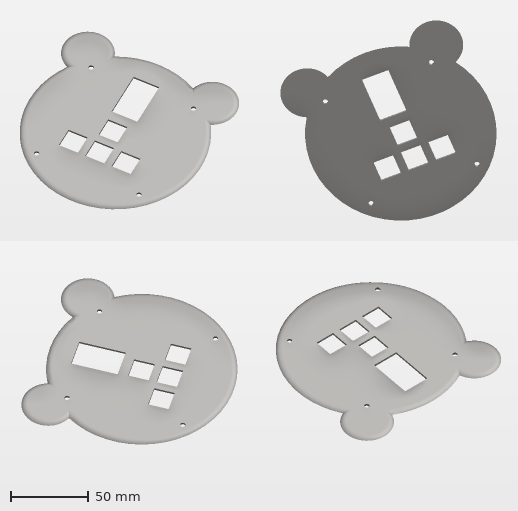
import cadquery as cq
import math

plate_thickness = 1.5
head_radius = 62.0
ear_radius = 17.4
ear_offset_x = 45.1
ear_offset_y = 49.7

rim_radius = 5.0
rim_width = math.sqrt(rim_radius**2 - (rim_radius - plate_thickness) ** 2)

screw_hole_diameter = 3.4
screw_spacing_x = 74.1
screw_spacing_y = 78.1
screw_center = (-0.4, 0.3)

key_size = 13.8
key_pitch = 19.1
middle_key_x = -1.7
key_row_y = -19.4

window_width = 18.6
window_height = 31.4
window_center = (-0.3, 29.2)


def rounded_disc(radius, center_x=0.0, center_y=0.0):
    """Flat disc with a sharp bottom edge and a rim that curves into the top face."""
    rim_center_x = radius - rim_width
    rim_center_z = plate_thickness - rim_radius
    half_rim_angle = math.asin(rim_width / rim_radius) / 2
    rim_middle = (
        rim_center_x + rim_radius * math.sin(half_rim_angle),
        rim_center_z + rim_radius * math.cos(half_rim_angle),
    )
    profile = (
        cq.Workplane("XZ")
        .lineTo(radius, 0)
        .threePointArc(rim_middle, (rim_center_x, plate_thickness))
        .lineTo(0, plate_thickness)
        .close()
    )
    disc = profile.revolve(360, (0, 0, 0), (0, 1, 0))
    return disc.translate((center_x, center_y, 0))


def rectangular_cutter(width, height, centers):
    """Blocks that cut rectangular openings through the plate."""
    return cq.Workplane("XY").pushPoints(centers).rect(width, height).extrude(plate_thickness)


def screw_hole_cutter():
    """Four cylinders at the corners of the screw pattern."""
    return (
        cq.Workplane("XY")
        .center(*screw_center)
        .rect(screw_spacing_x, screw_spacing_y, forConstruction=True)
        .vertices()
        .circle(screw_hole_diameter / 2)
        .extrude(plate_thickness)
    )


def make_faceplate():
    """Head and two ears in one piece, with all the openings cut through."""
    plate = rounded_disc(head_radius)
    for side in (-1, 1):
        plate = plate.union(rounded_disc(ear_radius, side * ear_offset_x, ear_offset_y))

    key_centers = [(middle_key_x + column * key_pitch, key_row_y) for column in (-1, 0, 1)]
    key_centers.append((middle_key_x, key_row_y + key_pitch))

    plate = plate.cut(rectangular_cutter(key_size, key_size, key_centers))
    plate = plate.cut(rectangular_cutter(window_width, window_height, [window_center]))
    return plate.cut(screw_hole_cutter())


faceplate = make_faceplate()

result = cq.Compound.makeCompound([faceplate.solids().val()])